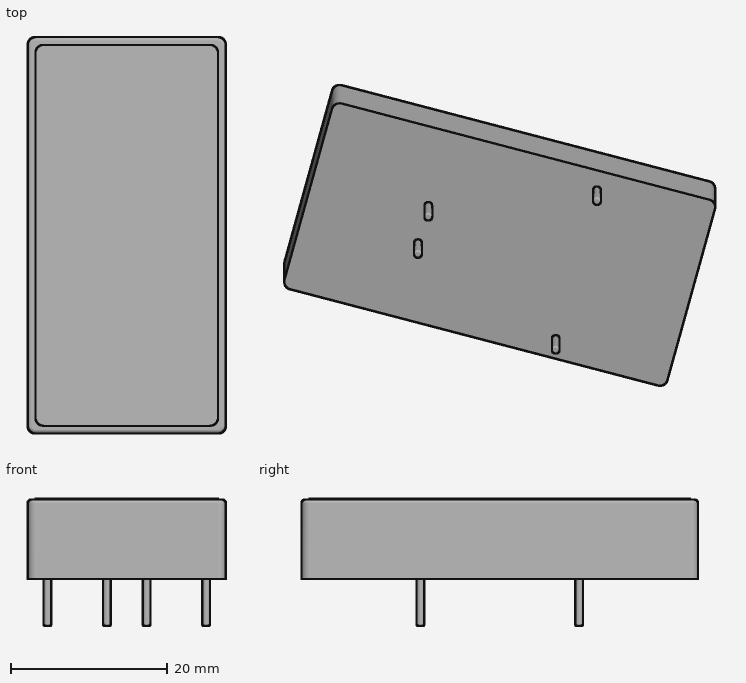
import cadquery as cq

case_width = 25.4
case_length = 50.8
total_height = 16.3
pin_length = 6.0
panel_rise = 0.1
case_height = total_height - pin_length - panel_rise
corner_radius = 1.0
top_edge_radius = 0.5

panel_margin = 1.0
panel_corner_radius = 1.0

pin_diameter = 1.0
pin_tip_radius = 0.25
row_offset = 10.15
wide_pair_offset = 10.15
narrow_pair_offset = 2.55
pin_places = [
    (-wide_pair_offset, -row_offset),
    (wide_pair_offset, -row_offset),
    (-narrow_pair_offset, row_offset),
    (narrow_pair_offset, row_offset),
]


def make_case():
    """Block with rounded corners and a rounded top rim; its bottom is at Z = 0."""
    block = cq.Workplane("XY").box(case_width, case_length, case_height, centered=(True, True, False))
    block = block.edges("|Z").fillet(corner_radius)
    return block.faces(">Z").edges().fillet(top_edge_radius)


def make_panel():
    """Thin raised panel on top of the case."""
    return (
        cq.Workplane("XY", origin=(0, 0, case_height))
        .rect(case_width - 2 * panel_margin, case_length - 2 * panel_margin)
        .extrude(panel_rise)
        .edges("|Z")
        .fillet(panel_corner_radius)
    )


def make_pins():
    """Round pins with rounded tips, hanging from the bottom of the case."""
    return (
        cq.Workplane("XY")
        .pushPoints(pin_places)
        .circle(pin_diameter / 2)
        .extrude(-pin_length)
        .faces("<Z")
        .edges()
        .fillet(pin_tip_radius)
    )


result = make_case().union(make_panel()).union(make_pins())